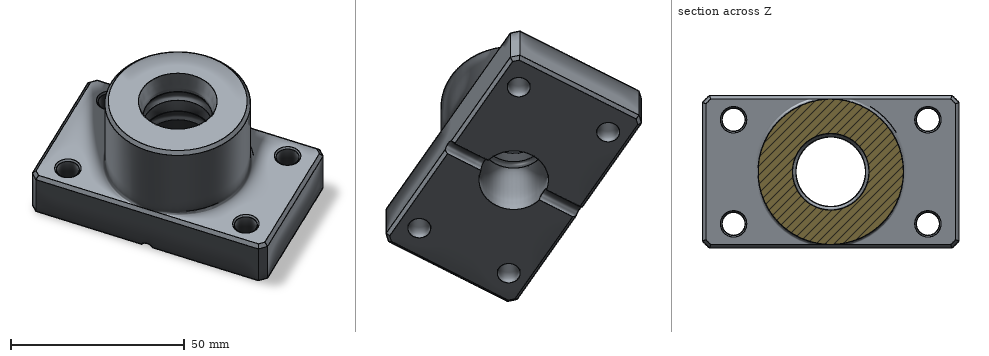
import cadquery as cq
import math

PLATE_LENGTH = 74.0
PLATE_WIDTH = 44.0
PLATE_HEIGHT = 15.0
CORNER_CHAMFER = 2.0
EDGE_CHAMFER = 1.0

TOTAL_HEIGHT = 40.0
EDGE_CLEARANCE = 0.001
BOSS_RADIUS = PLATE_WIDTH / 2 - EDGE_CHAMFER - EDGE_CLEARANCE
BOSS_CHAMFER = 1.0
FOOT_FILLET = 1.0

BORE_RADIUS = 10.0
MOUTH_DEPTH = 5.0
MOUTH_HALF_ANGLE = 15.0
MOUTH_RADIUS = BORE_RADIUS + MOUTH_DEPTH * math.tan(math.radians(MOUTH_HALF_ANGLE))
GROOVE_COUNT = 2
GROOVE_PITCH = 8.0
GROOVE_DEPTH = 1.0
GROOVE_ARC_RADIUS = 2.0
GROOVE_HALF_WIDTH = math.sqrt(GROOVE_ARC_RADIUS**2 - (GROOVE_ARC_RADIUS - GROOVE_DEPTH) ** 2)

HOLE_DIAMETER = 6.6
HOLE_CHAMFER = 0.5
HOLE_SPACING_X = 56.0
HOLE_SPACING_Y = 30.0

CHANNEL_RADIUS = 2.0


def make_plate():
    plate = cq.Workplane("XY").box(PLATE_LENGTH, PLATE_WIDTH, PLATE_HEIGHT, centered=(True, True, False))
    plate = plate.edges("|Z").chamfer(CORNER_CHAMFER)
    return plate.faces("<Z or >Z").edges().chamfer(EDGE_CHAMFER)


def make_boss():
    boss = cq.Workplane("XY").circle(BOSS_RADIUS).extrude(TOTAL_HEIGHT)
    return boss.faces(">Z").edges().chamfer(BOSS_CHAMFER)


def fillet_foot(body):
    """Round the corner between the boss and the top face of the plate."""
    foot = body.edges("%CIRCLE").filter(lambda edge: abs(edge.Center().z - PLATE_HEIGHT) < EDGE_CLEARANCE)
    return foot.fillet(FOOT_FILLET)


def make_bore():
    """Solid to cut: the straight bore, its tapered mouth and the ring grooves."""
    profile = cq.Workplane("XZ").lineTo(0, TOTAL_HEIGHT).lineTo(MOUTH_RADIUS, TOTAL_HEIGHT)
    profile = profile.lineTo(BORE_RADIUS, TOTAL_HEIGHT - MOUTH_DEPTH)
    for number in range(1, GROOVE_COUNT + 1):
        middle = TOTAL_HEIGHT - number * GROOVE_PITCH
        upper_edge = (BORE_RADIUS, middle + GROOVE_HALF_WIDTH)
        lower_edge = (BORE_RADIUS, middle - GROOVE_HALF_WIDTH)
        deepest_point = (BORE_RADIUS + GROOVE_DEPTH, middle)
        profile = profile.lineTo(*upper_edge).threePointArc(deepest_point, lower_edge)
    profile = profile.lineTo(BORE_RADIUS, 0).close()
    return profile.revolve(360, (0, 0, 0), (0, 1, 0))


def make_mounting_holes():
    """Solids to cut: four through holes with a chamfered mouth."""
    corners = cq.Workplane("XY").rect(HOLE_SPACING_X, HOLE_SPACING_Y, forConstruction=True).vertices()
    holes = corners.circle(HOLE_DIAMETER / 2).extrude(PLATE_HEIGHT)
    mouth_radius = HOLE_DIAMETER / 2 + HOLE_CHAMFER
    mouth = cq.Solid.makeCone(HOLE_DIAMETER / 2, mouth_radius, HOLE_CHAMFER)
    mouth = mouth.translate(cq.Vector(0, 0, PLATE_HEIGHT - HOLE_CHAMFER))
    mouths = corners.eachpoint(lambda location: mouth.moved(location))
    return holes.union(mouths)


def make_channel():
    return cq.Workplane("XZ").circle(CHANNEL_RADIUS).extrude(PLATE_WIDTH / 2, both=True)


body = fillet_foot(make_plate().union(make_boss()))
result = body.cut(make_bore()).cut(make_mounting_holes()).cut(make_channel())